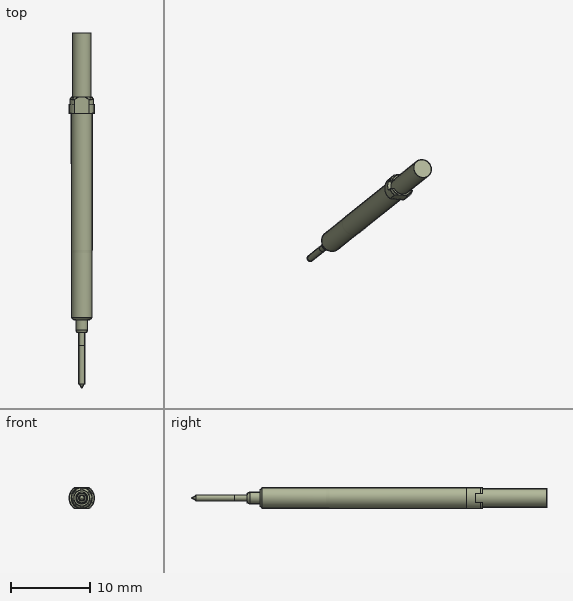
import cadquery as cq


tail_length = 8.1
collar_length = 2.05
sleeve_step_start = 27.4
sleeve_step_end = 27.8
sleeve_length = 36.2
plunger_end = 37.8
needle_step = 39.4
needle_shoulder = 44.25
overall_length = 44.8

tail_radius = 2.35 / 2
collar_radius = 3.2 / 2
body_radius = 2.65 / 2
front_sleeve_radius = 2.6 / 2
plunger_radius = 1.5 / 2
needle_root_radius = 0.78 / 2
needle_radius = 0.8 / 2
point_radius = 0.64 / 2

collar_chamfer_length = 0.3
collar_chamfer_depth = 0.2
sleeve_nose_chamfer = 0.3
plunger_chamfer_length = 0.35
plunger_chamfer_depth = 0.15

flat_width = 2 * body_radius
slot_width = 1.1
slot_length = 0.9


def rod(start, end, radius, end_radius=None):
    """Straight or tapered round length between two stations; an end radius of zero makes a point."""
    if end_radius is None:
        end_radius = radius
    half_profile = [(0, -start), (radius, -start), (end_radius, -end)]
    if end_radius > 0:
        half_profile.append((0, -end))
    return cq.Workplane("XY").polyline(half_profile).close().revolve(360, (0, 0, 0), (0, 1, 0))


def make_collar():
    """Round collar with a chamfered rear rim, two flats and a slot in each side."""
    rear = tail_length
    front = tail_length + collar_length
    chamfer_end = rear + collar_chamfer_length
    collar = rod(rear, chamfer_end, collar_radius - collar_chamfer_depth, collar_radius)
    collar = collar.union(rod(chamfer_end, front, collar_radius))

    flats = cq.Workplane("XY").box(2 * collar_radius, 2 * overall_length, flat_width)
    collar = collar.intersect(flats)

    slot = cq.Workplane("XY").box(2 * collar_radius, slot_length, slot_width)
    slot = slot.translate((0, -(rear + slot_length / 2), 0))
    return collar.cut(slot)


def make_sleeve():
    """Main barrel, stepping down to a slightly thinner front with a chamfered nose."""
    nose_start = sleeve_length - sleeve_nose_chamfer
    nose_radius = front_sleeve_radius - sleeve_nose_chamfer
    sleeve = rod(tail_length + collar_length, sleeve_step_start, body_radius)
    sleeve = sleeve.union(rod(sleeve_step_start, sleeve_step_end, body_radius, front_sleeve_radius))
    sleeve = sleeve.union(rod(sleeve_step_end, nose_start, front_sleeve_radius))
    return sleeve.union(rod(nose_start, sleeve_length, front_sleeve_radius, nose_radius))


def make_plunger():
    """Moving plunger with a tapered end, carrying the stepped needle and its point."""
    taper_start = plunger_end - plunger_chamfer_length
    taper_radius = plunger_radius - plunger_chamfer_depth
    plunger = rod(sleeve_length, taper_start, plunger_radius)
    plunger = plunger.union(rod(taper_start, plunger_end, plunger_radius, taper_radius))
    plunger = plunger.union(rod(plunger_end, needle_step, needle_root_radius))
    plunger = plunger.union(rod(needle_step, needle_shoulder, needle_radius))
    return plunger.union(rod(needle_shoulder, overall_length, point_radius, 0))


tail = rod(0, tail_length + slot_length, tail_radius)
result = tail.union(make_collar()).union(make_sleeve()).union(make_plunger())